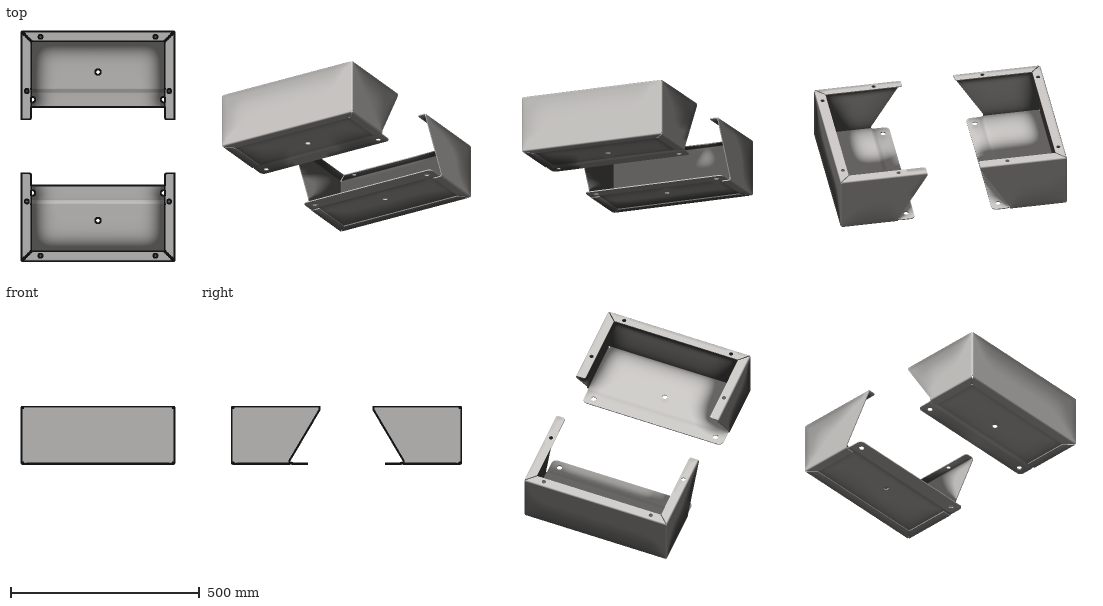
import cadquery as cq
import math

total_length = 609.5
width = 406.5
height = 152.5

sheet = 2.7
bend_radius = 4.6
inner_bend_radius = bend_radius - sheet

shell_depth = 233.5
flange_width = 26.0
miter_gap = 2.75
flange_tip_radius = 6.0
side_foot_depth = 153.5
side_foot_height = 8.5
side_tip_height = 8.5

flange_hole_diameter = 11.0
flange_hole_inset = 14.5
back_hole_offset = 152.5
side_hole_depth = 158.5

floor_hole_diameter = 14.0
floor_inset = bend_radius
floor_corner_radius = 12.0
floor_bend_depth = 152.5
ramp_length = 10.0
tongue_end_depth = 201.0
floor_hole_depth = 108.0
tongue_hole_depth = 181.0
tongue_hole_offset = 174.0

ramp_end_depth = floor_bend_depth + ramp_length
ramp_angle = math.atan2(sheet, ramp_length)
lower_bend_shift = sheet * math.tan(ramp_angle / 2)
floor_flat_depth = floor_bend_depth - lower_bend_shift - inner_bend_radius * math.tan(ramp_angle / 2)

half_width = width / 2
half_length = total_length / 2


def block(x_size, y_start, y_end, z_start, z_end):
    """Box centred on X between the given Y and Z limits."""
    return (
        cq.Workplane("XY")
        .box(x_size, y_end - y_start, z_end - z_start, centered=(True, False, False))
        .translate((0, y_start, z_start))
    )


def drill(body, points, diameter, z_start, z_end):
    """Round vertical holes through a body between two heights."""
    cutter = (
        cq.Workplane("XY", origin=(0, 0, z_start))
        .pushPoints(points)
        .circle(diameter / 2)
        .extrude(z_end - z_start)
    )
    return body.cut(cutter)


def rounded_envelope(inset, radius):
    """Solid filling of the shell, with its back, side, top and bottom bends rounded."""
    envelope = block(width - 2 * inset, inset, 2 * shell_depth, inset, height - inset)
    return envelope.edges("not >Y").fillet(radius)


def side_profile():
    """Prism across the full width that gives the side walls their slanting front edge."""
    return (
        cq.Workplane("YZ")
        .polyline([
            (0, 0),
            (side_foot_depth, 0),
            (side_foot_depth, side_foot_height),
            (shell_depth, height - side_tip_height),
            (shell_depth, height),
            (0, height),
        ])
        .close()
        .extrude(half_width, both=True)
    )


def cut_miter_slits(shell):
    """Separate the back and side flanges along each corner's diagonal, up to the end of the bends."""
    slit_length = 2 * math.sqrt(2) * flange_width
    for side in (-1, 1):
        for z_middle in (0, height):
            slit = (
                cq.Workplane("XY")
                .box(slit_length, miter_gap, 2 * bend_radius)
                .rotate((0, 0, 0), (0, 0, 1), -45 * side)
                .translate((side * half_width, 0, z_middle))
            )
            shell = shell.cut(slit)
    return shell


def make_shell():
    """Bent shell with its back wall at Y = 0 and its open front towards +Y."""
    shell = rounded_envelope(0, bend_radius).cut(rounded_envelope(sheet, inner_bend_radius))

    opening = block(width - 2 * flange_width, flange_width, 2 * shell_depth, 0, height)
    shell = shell.cut(opening).intersect(side_profile())

    ramp_room = block(width - 2 * bend_radius, floor_flat_depth, shell_depth, 0, sheet)
    shell = shell.cut(ramp_room)

    shell = cut_miter_slits(shell)

    tip_x = half_width - flange_width
    for side in (-1, 1):
        tip = cq.selectors.NearestToPointSelector((side * tip_x, shell_depth, height - sheet / 2))
        shell = shell.edges("|Z").edges(tip).fillet(flange_tip_radius)

    holes = []
    for side in (-1, 1):
        holes.append((side * back_hole_offset, flange_hole_inset))
        holes.append((side * (half_width - flange_hole_inset), side_hole_depth))
    return drill(shell, holes, flange_hole_diameter, height - bend_radius, height)


def make_floor():
    """Floor plate of a shell whose back wall is at Y = 0."""
    lower_bend = floor_bend_depth - lower_bend_shift
    lower_ramp_end = ramp_end_depth - lower_bend_shift
    floor = (
        cq.Workplane("YZ")
        .polyline([
            (floor_inset, sheet),
            (lower_bend, sheet),
            (lower_ramp_end, 0),
            (tongue_end_depth, 0),
            (tongue_end_depth, sheet),
            (ramp_end_depth, sheet),
            (floor_bend_depth, 2 * sheet),
            (floor_inset, 2 * sheet),
        ])
        .close()
        .extrude(half_width - floor_inset, both=True)
    )
    floor = floor.edges("|Z").fillet(floor_corner_radius)

    bends = [
        (floor_bend_depth, 2 * sheet, bend_radius),
        (lower_bend, sheet, inner_bend_radius),
        (ramp_end_depth, sheet, inner_bend_radius),
        (lower_ramp_end, 0, bend_radius),
    ]
    for y, z, radius in bends:
        floor = floor.edges(cq.selectors.NearestToPointSelector((0, y, z))).fillet(radius)

    holes = [(0, floor_hole_depth)]
    holes += [(side * tongue_hole_offset, tongue_hole_depth) for side in (-1, 1)]
    return drill(floor, holes, floor_hole_diameter, 0, 2 * sheet)


shell = make_shell().translate((0, -half_length, 0))
floor = make_floor().translate((0, -half_length, 0))

bodies = []
for turn in (0, 180):
    for body in (shell, floor):
        bodies += body.rotate((0, 0, 0), (0, 0, 1), turn).solids().vals()

result = cq.Compound.makeCompound(bodies)